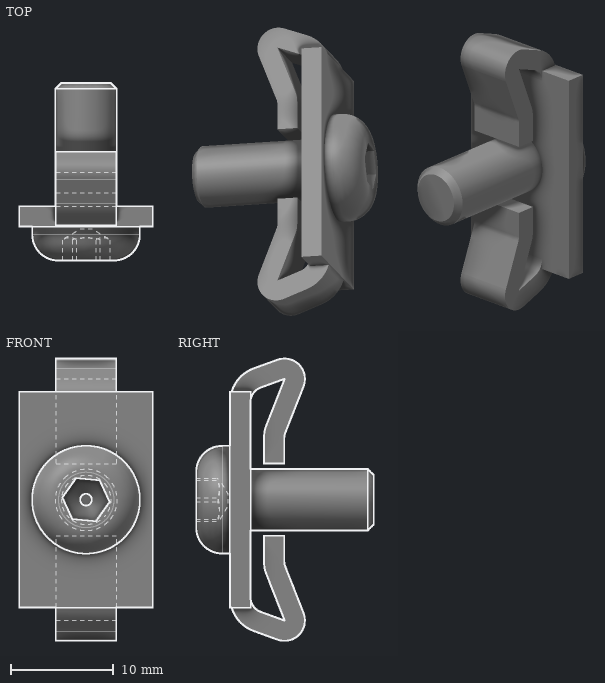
import cadquery as cq
import math

plate_width = 13.0
plate_height = 21.0
plate_thickness = 2.0

shank_diameter = 6.0
shank_length = 12.0
tip_chamfer = 0.6
head_diameter = 10.5
head_height = 3.3
head_rounding = 2.55

socket_across_flats = 4.0
socket_turn = -5.3
socket_wall_depth = 2.08
socket_floor_radius = 0.57
socket_cone_slope = 30.0

strip_width = 5.9
strip_thickness = 2.0
top_bend_inner_radius = 1.5
top_bend_outer_radius = top_bend_inner_radius + strip_thickness
foot_bend_inner_radius = 1.0
foot_bend_outer_radius = foot_bend_inner_radius + strip_thickness
overall_height = 27.48
foot_front_y = 3.3
foot_end_z = 3.5
top_leg_slope = 20.0
rear_leg_lean = 21.5


def point_on_circle(center, radius, angle):
    """Point on a circle in the sketch plane, at an angle in degrees from the first axis."""
    turn = math.radians(angle)
    return (center[0] + radius * math.cos(turn), center[1] + radius * math.sin(turn))


def make_plate():
    return cq.Workplane("XY").box(plate_width, plate_thickness, plate_height).translate(
        (0, plate_thickness / 2, 0)
    )


def make_screw():
    """Screw revolved from a half profile of (radius, Y) points."""
    head_radius = head_diameter / 2
    shank_radius = shank_diameter / 2
    tip_y = plate_thickness + shank_length
    rounding_middle = -45
    rounding_center = (head_radius - head_rounding, head_rounding - head_height)
    return (
        cq.Workplane("XY")
        .moveTo(0, -head_height)
        .lineTo(rounding_center[0], -head_height)
        .threePointArc(
            point_on_circle(rounding_center, head_rounding, rounding_middle),
            (head_radius, rounding_center[1]),
        )
        .lineTo(head_radius, 0)
        .lineTo(shank_radius, 0)
        .lineTo(shank_radius, tip_y - tip_chamfer)
        .lineTo(shank_radius - tip_chamfer, tip_y)
        .lineTo(0, tip_y)
        .close()
        .revolve(360, (0, 0, 0), (0, 1, 0))
    )


def make_socket():
    """Hexagonal prism whose inner end is limited by a blunt cone."""
    corner_radius = socket_across_flats / math.sqrt(3)
    cone_depth = (corner_radius - socket_floor_radius) * math.tan(math.radians(socket_cone_slope))
    wall_end_y = socket_wall_depth - head_height
    floor_y = wall_end_y + cone_depth
    hexagon = (
        cq.Workplane("XZ", origin=(0, -head_height, 0))
        .polygon(6, 2 * corner_radius)
        .extrude(-(socket_wall_depth + cone_depth))
        .rotate((0, 0, 0), (0, 1, 0), -socket_turn)
    )
    envelope = (
        cq.Workplane("XY")
        .moveTo(0, -head_height)
        .lineTo(corner_radius, -head_height)
        .lineTo(corner_radius, wall_end_y)
        .lineTo(socket_floor_radius, floor_y)
        .lineTo(0, floor_y)
        .close()
        .revolve(360, (0, 0, 0), (0, 1, 0))
    )
    return hexagon.intersect(envelope)


def make_spring():
    """Upper strip: rises from the plate, folds back over a tight loop and ends in a foot."""
    foot_back_y = foot_front_y + strip_thickness
    loop_center = (foot_back_y, overall_height / 2 - strip_thickness)

    slope = math.radians(top_leg_slope)
    top_bend_y = top_bend_outer_radius
    top_bend_z = (
        loop_center[1]
        - (loop_center[0] - top_bend_y) * math.tan(slope)
        - top_bend_inner_radius / math.cos(slope)
    )
    top_bend = (top_bend_y, top_bend_z)

    lean = math.radians(rear_leg_lean)
    foot_bend_y = foot_front_y + foot_bend_outer_radius
    leg_end_y = foot_bend_y - foot_bend_outer_radius * math.cos(lean)
    leg_end_z = loop_center[1] - (loop_center[0] - leg_end_y) / math.tan(lean)
    foot_bend = (foot_bend_y, leg_end_z - foot_bend_outer_radius * math.sin(lean))

    top_angle = 90 + top_leg_slope
    top_middle = (180 + top_angle) / 2
    loop_end = -rear_leg_lean
    loop_middle = (top_angle + loop_end) / 2
    foot_angle = 180 - rear_leg_lean
    foot_middle = (180 + foot_angle) / 2

    return (
        cq.Workplane("YZ")
        .moveTo(*point_on_circle(top_bend, top_bend_outer_radius, 180))
        .threePointArc(
            point_on_circle(top_bend, top_bend_outer_radius, top_middle),
            point_on_circle(top_bend, top_bend_outer_radius, top_angle),
        )
        .lineTo(*point_on_circle(loop_center, strip_thickness, top_angle))
        .threePointArc(
            point_on_circle(loop_center, strip_thickness, loop_middle),
            point_on_circle(loop_center, strip_thickness, loop_end),
        )
        .lineTo(*point_on_circle(foot_bend, foot_bend_inner_radius, foot_angle))
        .threePointArc(
            point_on_circle(foot_bend, foot_bend_inner_radius, foot_middle),
            point_on_circle(foot_bend, foot_bend_inner_radius, 180),
        )
        .lineTo(foot_back_y, foot_end_z)
        .lineTo(foot_front_y, foot_end_z)
        .lineTo(foot_front_y, foot_bend[1])
        .threePointArc(
            point_on_circle(foot_bend, foot_bend_outer_radius, foot_middle),
            point_on_circle(foot_bend, foot_bend_outer_radius, foot_angle),
        )
        .lineTo(*loop_center)
        .lineTo(*point_on_circle(top_bend, top_bend_inner_radius, top_angle))
        .threePointArc(
            point_on_circle(top_bend, top_bend_inner_radius, top_middle),
            point_on_circle(top_bend, top_bend_inner_radius, 180),
        )
        .close()
        .extrude(strip_width / 2, both=True)
    )


upper_spring = make_spring()
lower_spring = upper_spring.mirror("XY")
screw = make_screw().cut(make_socket())
result = make_plate().union(screw).union(upper_spring).union(lower_spring)